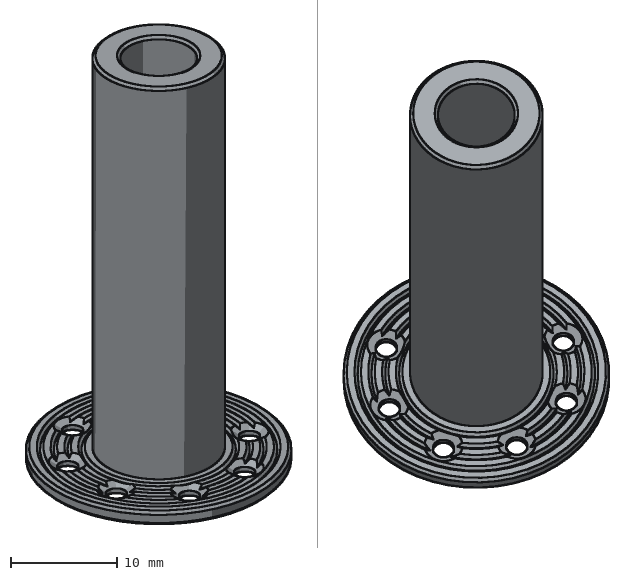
import cadquery as cq

TOTAL_HEIGHT = 43.75
FLANGE_DIAMETER = 25.0
FLANGE_THICKNESS = 1.5
TUBE_DIAMETER = FLANGE_DIAMETER / 2
BORE_DIAMETER = 7.2
EDGE_CHAMFER = 0.3

GROOVE_COUNT = 4
INNER_GROOVE_RADIUS = 7.25
OUTER_GROOVE_RADIUS = 11.15
GROOVE_PITCH = (OUTER_GROOVE_RADIUS - INNER_GROOVE_RADIUS) / (GROOVE_COUNT - 1)
GROOVE_DEPTH = 0.3
GROOVE_HALF_WIDTH = GROOVE_DEPTH

HOLE_COUNT = 8
HOLE_DIAMETER = 2.0
HOLE_CIRCLE_RADIUS = 9.0
COUNTERSINK_DIAMETER = 3.6
COUNTERSINK_DEPTH = FLANGE_THICKNESS / 3


def make_flange():
    flange = cq.Workplane("XY").circle(FLANGE_DIAMETER / 2).extrude(FLANGE_THICKNESS)
    return flange.edges().chamfer(EDGE_CHAMFER)


def make_groove_ring(radius):
    """Solid ring with the triangular section of one V groove."""
    section = [
        (radius - GROOVE_HALF_WIDTH, FLANGE_THICKNESS),
        (radius, FLANGE_THICKNESS - GROOVE_DEPTH),
        (radius + GROOVE_HALF_WIDTH, FLANGE_THICKNESS),
    ]
    return cq.Workplane("XZ").polyline(section).close().revolve(360, (0, 0), (0, 1))


def cut_grooves(flange):
    for index in range(GROOVE_COUNT):
        flange = flange.cut(make_groove_ring(INNER_GROOVE_RADIUS + index * GROOVE_PITCH))
    return flange


def make_hole_cutter():
    """Straight hole on the Z axis that flares into a cone at each face of the flange."""
    hole_radius = HOLE_DIAMETER / 2
    rim_radius = COUNTERSINK_DIAMETER / 2
    half_section = [
        (0, 0),
        (rim_radius, 0),
        (hole_radius, COUNTERSINK_DEPTH),
        (hole_radius, FLANGE_THICKNESS - COUNTERSINK_DEPTH),
        (rim_radius, FLANGE_THICKNESS),
        (0, FLANGE_THICKNESS),
    ]
    return cq.Workplane("XZ").polyline(half_section).close().revolve(360, (0, 0), (0, 1))


def cut_screw_holes(flange):
    cutter = make_hole_cutter().translate((HOLE_CIRCLE_RADIUS, 0, 0))
    for index in range(HOLE_COUNT):
        flange = flange.cut(cutter.rotate((0, 0, 0), (0, 0, 1), index * 360 / HOLE_COUNT))
    return flange


def make_tube():
    tube = cq.Workplane("XY").circle(TUBE_DIAMETER / 2).extrude(TOTAL_HEIGHT)
    return tube.faces(">Z").edges().chamfer(EDGE_CHAMFER)


def cut_bore(body):
    """Through bore with a chamfered mouth at the free end of the tube."""
    bored = body.cut(cq.Workplane("XY").circle(BORE_DIAMETER / 2).extrude(TOTAL_HEIGHT))
    mouth = bored.faces(">Z").edges(cq.selectors.RadiusNthSelector(0))
    return mouth.chamfer(EDGE_CHAMFER)


flange = cut_screw_holes(cut_grooves(make_flange()))
result = cut_bore(flange.union(make_tube()))